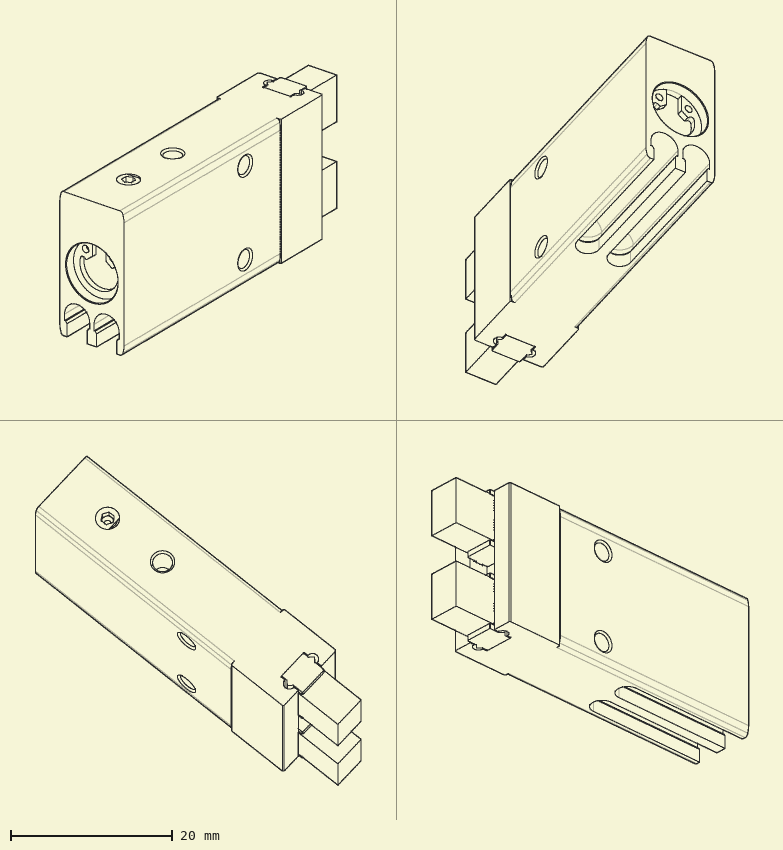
import cadquery as cq
import math

width = 10.0
half_width = width / 2
height = 20.0
total_length = 47.1
body_length = 32.0
housing_length = 40.6
mid_height = height / 2

side_round_radius = 3.0
side_round_start = 18.55
corner_half_width = 4.35
corner_drop = 0.45
block_edge_chamfer = 0.15

bore_diameter = 8.0
bore_chamfer = 0.1
ring_depth = 1.5
ring_thickness = 0.8
ring_inner_radius = 3.0
ring_gap_half = 1.08
ring_hole_diameter = 1.0
ring_hole_offset = 2.125

slot_offset = 2.3
slot_length = 20.0
slot_radius = 1.95
slot_top = 5.0
slot_ledge = 2.15
slot_mouth_radius = 1.56
slot_mouth_chamfer = 0.22
slot_mouth_height = 1.84

thread_diameter = 2.46
thread_mouth_diameter = 3.0
thread_chamfer = (thread_mouth_diameter - thread_diameter) / 2
side_hole_y = 24.75
side_hole_rise = 6.5
port_y = 16.5
port_depth = 4.5
screw_y = 7.5

screw_length = 3.5
screw_flat = 1.1
socket_across_flats = 1.5
socket_depth = 1.0
socket_tip_diameter = 0.8
socket_tip_depth = 0.5

guide_half_width = 2.19
guide_rear = 37.75
guide_center_y = 39.15
ball_groove_radius = 0.75
base_half_width = 2.05
base_front = 41.2
base_height = 8.0
base_bottoms = (0, height - base_height)
base_chamfer = 0.1
rib_depth = 0.52
jaw_width = 4.4
jaw_height = 6.5


def box(x0, x1, y0, y1, z0, z1):
    """Box between two opposite corners."""
    return cq.Workplane("XY").box(x1 - x0, y1 - y0, z1 - z0, centered=False).translate((x0, y0, z0))


def cone_mouthed_hole(depth):
    """Threaded-hole shape along -Z from the origin, with a 45 degree mouth."""
    mouth = thread_mouth_diameter / 2
    bore = thread_diameter / 2
    return (
        cq.Workplane("XZ")
        .polyline([(0, 0), (mouth, 0), (bore, -thread_chamfer), (bore, -depth), (0, -depth)])
        .close()
        .revolve(360, (0, 0, 0), (0, 1, 0))
    )


def rear_body():
    """Rear part: flat sides, and two stacked arcs rounding each long edge."""
    arc_center_x = half_width - side_round_radius

    def side_round_x(rise):
        return arc_center_x + math.sqrt(side_round_radius**2 - rise**2)

    half_height = height / 2
    flat_side = side_round_start - mid_height
    corner_z = half_height - corner_drop
    corner_x = side_round_x(corner_z - flat_side)
    round_mid_z = (flat_side + corner_z) / 2
    round_mid_x = side_round_x(round_mid_z - flat_side)
    diagonal = math.sqrt(0.5)
    corner_mid_x = corner_half_width + (corner_x - corner_half_width) * diagonal
    corner_mid_z = corner_z + corner_drop * diagonal

    quarter = (
        cq.Workplane("XZ", origin=(0, 0, mid_height))
        .lineTo(half_width, 0)
        .lineTo(half_width, flat_side)
        .threePointArc((round_mid_x, round_mid_z), (corner_x, corner_z))
        .threePointArc((corner_mid_x, corner_mid_z), (corner_half_width, half_height))
        .lineTo(0, half_height)
        .close()
        .extrude(-body_length)
    )
    upper = quarter.union(quarter.mirror("YZ"))
    lower = upper.mirror("XY", (0, 0, mid_height))
    return upper.union(lower)


def finger_block():
    """Square front part, its four upright edges lightly chamfered."""
    block = box(-half_width, half_width, body_length, housing_length, 0, height)
    return block.edges("|Z").chamfer(block_edge_chamfer)


def finger_guide():
    """Open groove for the fingers, with blind round ball grooves in its walls beside each finger."""
    guide = box(-guide_half_width, guide_half_width, guide_rear, housing_length, 0, height)
    ball_groove = (
        cq.Workplane("XY")
        .pushPoints([(side * guide_half_width, guide_center_y) for side in (-1, 1)])
        .circle(ball_groove_radius)
        .extrude(base_height)
    )
    for base_bottom in base_bottoms:
        guide = guide.union(ball_groove.translate((0, 0, base_bottom)))
    return guide


def rear_recess():
    """Rear bore down to a snap ring, and the ring's opening and pliers holes behind it."""
    bore_radius = bore_diameter / 2
    rear_plane = cq.Workplane("XZ", origin=(0, 0, mid_height))
    bore = rear_plane.circle(bore_radius).extrude(-ring_depth)
    mouth = (
        rear_plane.circle(bore_radius + bore_chamfer)
        .workplane(offset=-bore_chamfer)
        .circle(bore_radius)
        .loft()
    )

    lug_tip = (ring_gap_half, 1.38)
    lug_foot = (2.0, 0.68)
    notch_start = (2.4, 0.93)
    notch_mid = (2.8, 0.9)
    notch_end_z = 0.6
    notch_end = (math.sqrt(ring_inner_radius**2 - notch_end_z**2), notch_end_z)
    gap_top = math.sqrt(bore_radius**2 - ring_gap_half**2)

    def mirrored(point):
        return (-point[0], point[1])

    ring_plane = cq.Workplane("XZ", origin=(0, ring_depth, mid_height))
    opening = (
        ring_plane.moveTo(ring_gap_half, gap_top)
        .lineTo(*lug_tip)
        .lineTo(*lug_foot)
        .lineTo(*notch_start)
        .threePointArc(notch_mid, notch_end)
        .threePointArc((0, -ring_inner_radius), mirrored(notch_end))
        .threePointArc(mirrored(notch_mid), mirrored(notch_start))
        .lineTo(*mirrored(lug_foot))
        .lineTo(*mirrored(lug_tip))
        .lineTo(-ring_gap_half, gap_top)
        .threePointArc((0, bore_radius), (ring_gap_half, gap_top))
        .close()
        .extrude(-ring_thickness)
    )
    pliers_holes = (
        ring_plane.pushPoints([(side * ring_hole_offset, ring_hole_offset) for side in (-1, 1)])
        .circle(ring_hole_diameter / 2)
        .extrude(-ring_thickness)
    )
    return bore.union(mouth).union(opening).union(pliers_holes)


def slot_half_profile():
    """Half of the slot's cross-section, on the +X side of its centre line."""
    roof_center = slot_top - slot_radius
    diagonal = slot_radius * math.sqrt(0.5)
    return (
        cq.Workplane("XZ")
        .lineTo(slot_mouth_radius, 0)
        .lineTo(slot_mouth_radius, slot_mouth_height)
        .lineTo(slot_mouth_radius + slot_mouth_chamfer, slot_ledge)
        .lineTo(slot_radius, slot_ledge)
        .lineTo(slot_radius, roof_center)
        .threePointArc((diagonal, roof_center + diagonal), (0, slot_top))
        .close()
    )


def sensor_slot():
    """Slot with a round roof and narrow mouth, its inner end turned about a Z axis."""
    end_axis_y = slot_length - slot_radius
    half_slot = slot_half_profile().extrude(-end_axis_y)
    end = slot_half_profile().revolve(360, (0, 0, 0), (0, 1, 0)).translate((0, end_axis_y, 0))
    return half_slot.union(half_slot.mirror("YZ")).union(end)


def side_hole(z):
    """Hole through the width, with a chamfered mouth on both sides."""
    half_hole = cone_mouthed_hole(half_width).translate((0, 0, half_width))
    left = half_hole.rotate((0, 0, 0), (0, 1, 0), -90)
    right = half_hole.rotate((0, 0, 0), (0, 1, 0), 90)
    return left.union(right).translate((0, side_hole_y, z))


def make_housing():
    housing = rear_body().union(finger_block()).cut(finger_guide()).cut(rear_recess())
    for side in (-1, 1):
        housing = housing.cut(sensor_slot().translate((side * slot_offset, 0, 0)))
        housing = housing.cut(side_hole(mid_height + side * side_hole_rise))
    housing = housing.cut(cone_mouthed_hole(port_depth).translate((0, port_y, height)))
    return housing.cut(cone_mouthed_hole(screw_length).translate((0, screw_y, height)))


def make_plug_screw():
    """Screw filling its hole flush with the top, with one flat and a hex socket."""
    screw = cone_mouthed_hole(screw_length)
    mouth = thread_mouth_diameter / 2
    screw = screw.cut(box(-mouth, mouth, screw_flat, mouth, -screw_length, 0))
    socket = (
        cq.Workplane("XY")
        .polygon(6, socket_across_flats / math.cos(math.pi / 6))
        .extrude(-socket_depth)
        .rotate((0, 0, 0), (0, 0, 1), 30)
    )
    socket_tip = (
        cq.Workplane("XY", origin=(0, 0, -socket_depth))
        .circle(socket_across_flats / 2)
        .workplane(offset=-socket_tip_depth)
        .circle(socket_tip_diameter / 2)
        .loft()
    )
    return screw.cut(socket).cut(socket_tip).translate((0, screw_y, height))


def make_finger(base_bottom):
    """Sliding base with a V rib on each side, carrying the jaw in front of the housing."""
    base = box(-base_half_width, base_half_width, guide_rear, base_front, 0, base_height)
    base = base.edges("|Z and >Y").chamfer(base_chamfer)
    tip = base_half_width + rib_depth
    ribs = (
        cq.Workplane("XY")
        .polyline([
            (-tip, guide_center_y),
            (0, guide_center_y - tip),
            (tip, guide_center_y),
            (0, guide_center_y + tip),
        ])
        .close()
        .extrude(base_height)
        .intersect(box(-tip, tip, guide_center_y - rib_depth, guide_center_y + rib_depth, 0, base_height))
    )
    jaw_bottom = (base_height - jaw_height) / 2
    jaw = box(
        -jaw_width / 2, jaw_width / 2, housing_length, total_length, jaw_bottom, jaw_bottom + jaw_height
    )
    return base.union(ribs).union(jaw).translate((0, 0, base_bottom))


housing = make_housing()
plug_screw = make_plug_screw()
fingers = [make_finger(base_bottom) for base_bottom in base_bottoms]

result = cq.Compound.makeCompound([
    housing.val(),
    plug_screw.val(),
    *[finger.val() for finger in fingers],
])